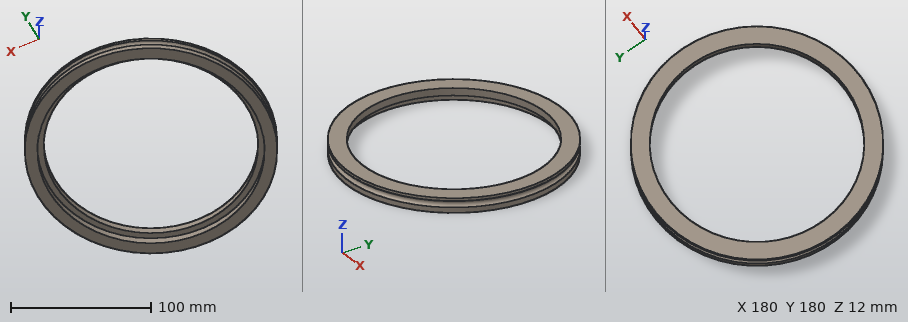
import cadquery as cq

outer_diameter = 180.0
height = 12.0
bore_diameter = 152.8

counterbore_diameter = 162.0
counterbore_depth = height / 2

groove_radius = 2.5
groove_center_height = 7.0


def ring_body():
    """Flat ring with a plain through bore."""
    return cq.Workplane("XY").circle(outer_diameter / 2).circle(bore_diameter / 2).extrude(height)


def counterbore():
    """Disc that widens the lower part of the bore."""
    return cq.Workplane("XY").circle(counterbore_diameter / 2).extrude(counterbore_depth)


def outer_groove():
    """Torus centered on the outer wall, leaving a half-round groove."""
    return (
        cq.Workplane("XZ")
        .center(outer_diameter / 2, groove_center_height)
        .circle(groove_radius)
        .revolve(360, (-outer_diameter / 2, 0), (-outer_diameter / 2, 1))
    )


result = ring_body().cut(counterbore()).cut(outer_groove())